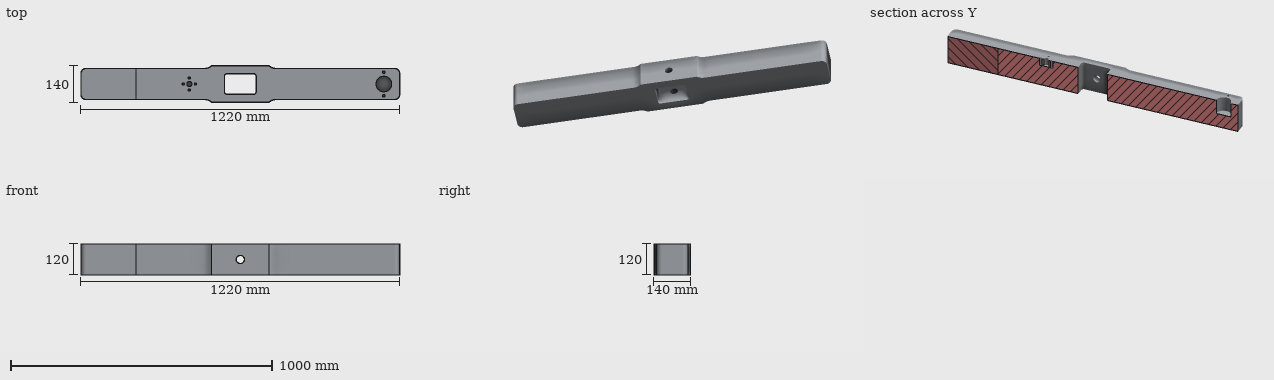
import cadquery as cq
import math

length = 1220.0
bar_width = 120.0
height = 120.0
corner_radius = 20.0
end_block_length = 211.0

middle_width = 140.0
middle_half_length = 110.0
blend_radius = 40.0

window_length = 121.0
window_width = 78.0
window_corner_radius = 10.0
cross_hole_diameter = 30.0

cluster_x = -195.0
cluster_hole_diameter = 20.0
cluster_small_diameter = 9.0
cluster_pitch_radius = 23.0
cluster_depth = 30.0
cluster_small_count = 4

socket_x = 549.0
socket_diameter = 60.0
socket_depth = 60.0
socket_screw_diameter = 10.0
socket_screw_offset = 45.0
socket_screw_depth = 30.0

left_end = -length / 2
joint_x = left_end + end_block_length
beam_length = length - end_block_length
top_z = height / 2
blend_rise = (middle_width - bar_width) / 2
blend_run = math.sqrt(blend_radius**2 - (blend_radius - blend_rise) ** 2)
blend_start = middle_half_length + blend_run


def bar(start_x, bar_length, rounded_end):
    """Rectangular bar with the upright edges of one end rounded."""
    return (
        cq.Workplane("XY")
        .box(bar_length, bar_width, height)
        .translate((start_x + bar_length / 2, 0, 0))
        .faces(rounded_end)
        .edges("|Z")
        .fillet(corner_radius)
    )


def middle_section():
    """Wider block whose four concave flanks run tangent into the bar sides."""
    bar_y = bar_width / 2
    middle_y = middle_width / 2
    half_sweep = math.asin(blend_run / blend_radius) / 2
    arc_x = blend_start - blend_radius * math.sin(half_sweep)
    arc_y = bar_y + blend_radius * (1 - math.cos(half_sweep))
    return (
        cq.Workplane("XY", origin=(0, 0, -top_z))
        .moveTo(-blend_start, bar_y)
        .threePointArc((-arc_x, arc_y), (-middle_half_length, middle_y))
        .lineTo(middle_half_length, middle_y)
        .threePointArc((arc_x, arc_y), (blend_start, bar_y))
        .lineTo(blend_start, -bar_y)
        .threePointArc((arc_x, -arc_y), (middle_half_length, -middle_y))
        .lineTo(-middle_half_length, -middle_y)
        .threePointArc((-arc_x, -arc_y), (-blend_start, -bar_y))
        .close()
        .extrude(height)
    )


def blind_holes(points, diameter, depth):
    """Flat-bottomed hole cutters going down from the top face."""
    return (
        cq.Workplane("XY", origin=(0, 0, top_z))
        .pushPoints(points)
        .circle(diameter / 2)
        .extrude(-depth)
    )


def window():
    return (
        cq.Workplane("XY")
        .box(window_length, window_width, height)
        .edges("|Z")
        .fillet(window_corner_radius)
    )


def cross_hole():
    return cq.Workplane("XZ").circle(cross_hole_diameter / 2).extrude(middle_width / 2, both=True)


def cluster_small_points():
    points = []
    for index in range(cluster_small_count):
        angle = 2 * math.pi * index / cluster_small_count
        x = cluster_x + cluster_pitch_radius * math.cos(angle)
        y = cluster_pitch_radius * math.sin(angle)
        points.append((x, y))
    return points


def make_beam():
    screw_points = [(socket_x, side * socket_screw_offset) for side in (-1, 1)]
    return (
        bar(joint_x, beam_length, ">X")
        .union(middle_section())
        .cut(window())
        .cut(cross_hole())
        .cut(blind_holes([(cluster_x, 0)], cluster_hole_diameter, cluster_depth))
        .cut(blind_holes(cluster_small_points(), cluster_small_diameter, cluster_depth))
        .cut(blind_holes([(socket_x, 0)], socket_diameter, socket_depth))
        .cut(blind_holes(screw_points, socket_screw_diameter, socket_screw_depth))
    )


def make_end_block():
    return bar(left_end, end_block_length, "<X")


beam = make_beam()
end_block = make_end_block()
result = cq.Compound.makeCompound([beam.val(), end_block.val()])